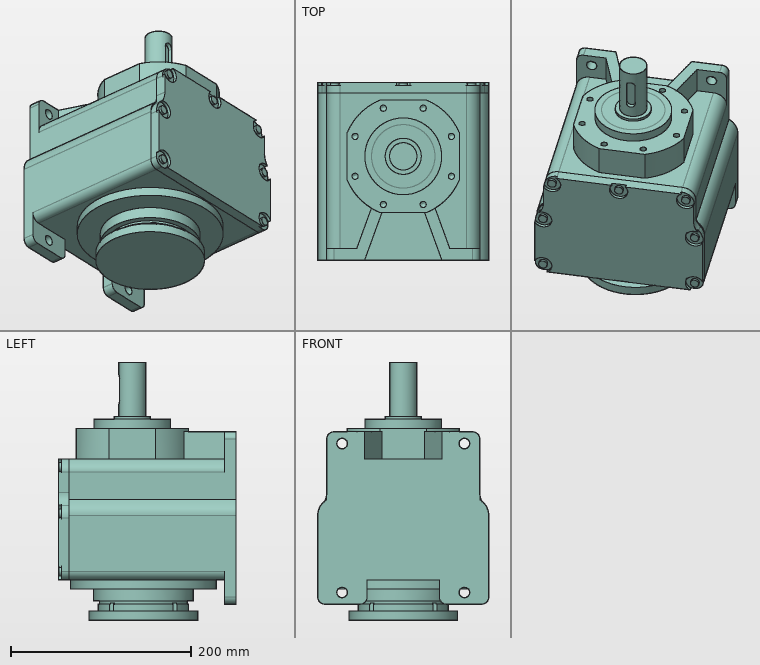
import cadquery as cq
import math


total_height = 286.0
body_bottom = 45.0
body_top = 179.0
plate_bottom = 17.7
plate_top = 209.0
head_top = 212.8
hub_top = 223.0
collar_top = 226.0

plate_front = -115.3
plate_thickness = 13.2
plate_back = plate_front + plate_thickness
back = 82.0
cover_thickness = 12.0
cover_front = back - cover_thickness

narrow_half = 85.0
wide_half = 95.0
body_top_radius = 15.0
body_bottom_radius = 9.5
shoulder_radius = 20.5
shoulder_start = 116.0

plate_corner = 8.0
top_notch_half = 43.0
bottom_notch_half = 40.0
mount_hole_radius = 5.7
mount_hole_x = 67.8
mount_hole_heights = (31.0, 196.0)

rib_width_x = 13.5
rib_lean_angle = 20.0
rib_lean = math.tan(math.radians(rib_lean_angle))

head_half = 62.3
head_radius = 67.5
head_hole_count = 8
head_hole_circle = 57.8
head_hole_radius = 3.5
head_hole_depth = 14.3
drill_point_angle = 118.0
drill_tip = head_hole_radius / math.tan(math.radians(drill_point_angle / 2))
hub_radius = 42.5

shaft_radius = 15.2
collar_radius = 20.0
seal_radius = 35.2
key_width = 10.0
key_depth = 5.0
key_bottom = 238.8
key_top = 273.0

input_y = -12.3
flange_top = 10.3
ring_top = 18.0
neck_top = 21.5
spigot_top = 34.5
ring_radius = 50.0
input_steps = (
    (81.0, spigot_top, body_bottom),
    (55.5, neck_top, spigot_top),
    (49.0, ring_top, neck_top),
    (ring_radius, flange_top, ring_top),
    (60.3, 0.0, flange_top),
)
groove_count = 4
groove_start_angle = 45.0
groove_radius = 3.1
groove_top = 19.2

cover_shoulder_bottom = 113.3
cover_shoulder_top = 141.5
recess_radius = 10.3
recess_depth = 3.7
screw_radius = 5.0
screw_height = 3.0
corner_inset = 9.2
middle_inset = 7.0
shoulder_screw_height = 118.5


def cylinder(radius, bottom, top, y=0.0):
    """Upright cylinder between two heights."""
    return cq.Workplane("XY", origin=(0, y, bottom)).circle(radius).extrude(top - bottom)


def block(half_width, bottom, top, front, rear):
    """Box centred on x = 0."""
    size = (2 * half_width, rear - front, top - bottom)
    return cq.Workplane("XY").box(*size, centered=(True, False, False)).translate((0, front, bottom))


def front_sketch(y):
    """Workplane facing -Y whose extrusion runs toward -Y."""
    return cq.Workplane("XZ", origin=(0, y, 0))


def shouldered_profile(bottom, top, bottom_radius, top_radius, rear, depth):
    """Stepped outline with a round shoulder on each side, drawn from the rear face forward."""
    centre_x = wide_half - shoulder_radius
    reach = narrow_half - centre_x
    step_z = shoulder_start + math.sqrt(shoulder_radius**2 - reach**2)
    half_angle = math.acos(reach / shoulder_radius) / 2
    middle = (
        centre_x + shoulder_radius * math.cos(half_angle),
        shoulder_start + shoulder_radius * math.sin(half_angle),
    )
    outline = (
        front_sketch(rear)
        .moveTo(-wide_half, bottom)
        .lineTo(wide_half, bottom)
        .lineTo(wide_half, shoulder_start)
        .threePointArc(middle, (narrow_half, step_z))
        .lineTo(narrow_half, top)
        .lineTo(-narrow_half, top)
        .lineTo(-narrow_half, step_z)
        .threePointArc((-middle[0], middle[1]), (-wide_half, shoulder_start))
        .close()
        .extrude(depth)
    )
    return round_outer_corners(outline, bottom, top, bottom_radius, top_radius)


def round_outer_corners(solid, bottom, top, bottom_radius, top_radius):
    """Round the two top and two bottom corners, along Y."""
    margin = 0.3
    for level, radius in ((bottom, bottom_radius), (top, top_radius)):
        band = cq.selectors.BoxSelector(
            (-wide_half - margin, plate_front - margin, level - margin),
            (wide_half + margin, back + margin, level + margin),
        )
        solid = solid.edges("|Y").edges(band).fillet(radius)
    return solid


def make_plate():
    """Mounting plate with four lugs and a hole in each."""
    plate = shouldered_profile(
        plate_bottom, plate_top, plate_corner, plate_corner, plate_back, plate_thickness
    )
    plate = plate.cut(block(top_notch_half, body_top, plate_top, plate_front, plate_back))
    bottom_notch = (
        front_sketch(plate_back)
        .moveTo(-bottom_notch_half - plate_corner, plate_bottom)
        .radiusArc((-bottom_notch_half, plate_bottom + plate_corner), -plate_corner)
        .lineTo(-bottom_notch_half, body_bottom)
        .lineTo(bottom_notch_half, body_bottom)
        .lineTo(bottom_notch_half, plate_bottom + plate_corner)
        .radiusArc((bottom_notch_half + plate_corner, plate_bottom), -plate_corner)
        .close()
        .extrude(plate_thickness)
    )
    centres = [(side * mount_hole_x, z) for side in (-1, 1) for z in mount_hole_heights]
    holes = front_sketch(plate_back).pushPoints(centres).circle(mount_hole_radius).extrude(plate_thickness)
    return plate.cut(bottom_notch).cut(holes)


def make_rib(side):
    """Slanted wall from one upper lug to the output head."""
    def leaning_x(y):
        return side * (top_notch_half - (y - plate_front) * rib_lean)

    rear = -head_half / 2
    return (
        cq.Workplane("XY", origin=(0, 0, body_top))
        .moveTo(leaning_x(plate_front), plate_front)
        .lineTo(leaning_x(rear), rear)
        .lineTo(leaning_x(rear) + side * rib_width_x, rear)
        .lineTo(leaning_x(plate_front) + side * rib_width_x, plate_front)
        .close()
        .extrude(plate_top - body_top)
    )


def make_head():
    """Square output head with round corners."""
    head = cylinder(head_radius, body_top, head_top)
    return head.intersect(block(head_half, body_top, head_top, -head_half, head_half))


def cut_head_holes(solid):
    """Drill the ring of blind holes in the output head."""
    pitch = 360 / head_hole_count
    drill = (
        cq.Workplane("XZ")
        .moveTo(0, head_top)
        .lineTo(head_hole_radius, head_top)
        .lineTo(head_hole_radius, head_top - head_hole_depth)
        .lineTo(0, head_top - head_hole_depth - drill_tip)
        .close()
        .revolve(360, (0, 0), (0, 1))
        .translate((head_hole_circle, 0, 0))
    )
    for index in range(head_hole_count):
        solid = solid.cut(drill.rotate((0, 0, 0), (0, 0, 1), (index + 0.5) * pitch))
    return solid


def make_input():
    """Stepped input neck and flange, with grooves down the ring."""
    neck = cq.Workplane("XY")
    for radius, bottom, top in input_steps:
        neck = neck.union(cylinder(radius, bottom, top, input_y))
    grooves = (
        cq.Workplane("XY", origin=(0, input_y, flange_top))
        .polarArray(ring_radius, groove_start_angle, 360, groove_count)
        .circle(groove_radius)
        .extrude(groove_top - flange_top)
    )
    return neck.cut(grooves)


def make_shaft():
    """Keyed output shaft with its collar and seal disc."""
    shaft = cylinder(seal_radius, head_top, hub_top)
    shaft = shaft.union(cylinder(collar_radius, hub_top, collar_top))
    shaft = shaft.union(cylinder(shaft_radius, collar_top, total_height))
    keyway = (
        front_sketch(shaft_radius)
        .center(0, (key_bottom + key_top) / 2)
        .slot2D(key_top - key_bottom, key_width, 90)
        .extrude(key_depth)
    )
    return shaft.cut(keyway)


def make_housing():
    """Gearbox case with mounting plate, ribs, output head, input neck and output shaft."""
    housing = shouldered_profile(
        body_bottom, body_top, body_bottom_radius, body_top_radius, cover_front, cover_front - plate_back
    )
    housing = housing.union(make_plate()).union(make_head())
    for side in (-1, 1):
        housing = housing.union(make_rib(side))
    housing = cut_head_holes(housing)
    housing = housing.union(cylinder(hub_radius, head_top, hub_top))
    housing = housing.union(make_input())
    return housing.union(make_shaft(), clean=False)


def make_cover():
    """Rear cover with S-shaped shoulders and sunken screw heads."""
    mid_x = (narrow_half + wide_half) / 2
    mid_z = (cover_shoulder_bottom + cover_shoulder_top) / 2
    rise = mid_z - cover_shoulder_bottom
    run = wide_half - mid_x
    bend = (rise**2 + run**2) / (2 * run)
    cover = (
        front_sketch(back)
        .moveTo(-wide_half, body_bottom)
        .lineTo(wide_half, body_bottom)
        .lineTo(wide_half, cover_shoulder_bottom)
        .radiusArc((mid_x, mid_z), -bend)
        .radiusArc((narrow_half, cover_shoulder_top), bend)
        .lineTo(narrow_half, body_top)
        .lineTo(-narrow_half, body_top)
        .lineTo(-narrow_half, cover_shoulder_top)
        .radiusArc((-mid_x, mid_z), bend)
        .radiusArc((-wide_half, cover_shoulder_bottom), -bend)
        .close()
        .extrude(cover_thickness)
    )
    cover = round_outer_corners(cover, body_bottom, body_top, body_bottom_radius, body_top_radius)
    screws = [(0, body_top - middle_inset)]
    for side in (-1, 1):
        screws.append((side * (narrow_half - corner_inset), body_top - corner_inset))
        screws.append((side * (wide_half - corner_inset), shoulder_screw_height))
        screws.append((side * (wide_half - corner_inset), body_bottom + corner_inset))
    recesses = front_sketch(back).pushPoints(screws).circle(recess_radius).extrude(recess_depth)
    floor = back - recess_depth
    heads = front_sketch(floor).pushPoints(screws).circle(screw_radius).extrude(-screw_height)
    return cover.cut(recesses).union(heads)


housing = make_housing()
cover = make_cover()

result = cq.Compound.makeCompound([housing.val(), cover.val()])